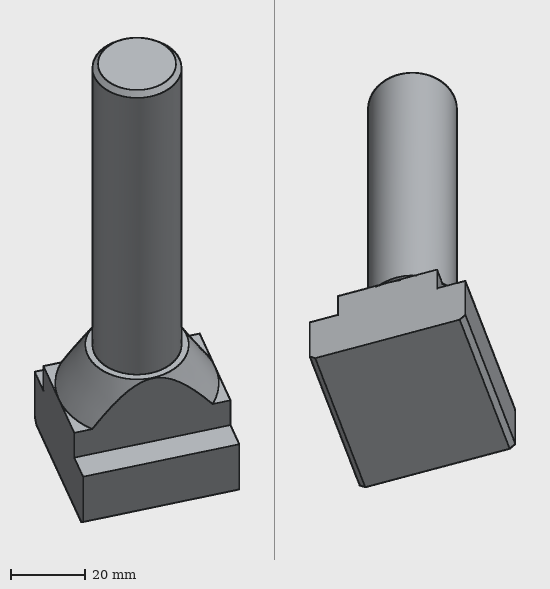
import cadquery as cq
import math

head_size = 44.0
head_height = 18.0
head_chamfer = 1.6

neck_width = 28.0
neck_straight_top = 27.0
neck_top = 41.0
cone_base_diameter = head_size
cone_half_angle = 30.0

shank_diameter = 24.0
total_height = 143.0
shank_chamfer = 1.5


def make_head():
    """Square head with chamfered bottom edges along the slot direction (Y)."""
    head = cq.Workplane("XY").box(head_size, head_size, head_height, centered=(True, True, False))
    return head.faces("<Z").edges("|Y").chamfer(head_chamfer)


def make_neck():
    """Rectangular neck topped by a cone whose two sides are cut flush with it."""
    straight = cq.Workplane("XY").box(
        neck_width, head_size, neck_straight_top, centered=(True, True, False)
    )
    cone_height = neck_top - neck_straight_top
    cone_base_radius = cone_base_diameter / 2
    cone_top_radius = cone_base_radius - cone_height * math.tan(math.radians(cone_half_angle))
    cone = (
        cq.Workplane("XY", origin=(0, 0, neck_straight_top))
        .circle(cone_base_radius)
        .workplane(offset=cone_height)
        .circle(cone_top_radius)
        .loft(ruled=True)
    )
    side_limits = cq.Workplane("XY").box(
        neck_width, head_size, neck_top, centered=(True, True, False)
    )
    return straight.union(cone.intersect(side_limits))


def make_shank():
    """Round shank with a chamfered free end."""
    shank = cq.Workplane("XY").circle(shank_diameter / 2).extrude(total_height)
    return shank.faces(">Z").edges().chamfer(shank_chamfer)


result = make_head().union(make_neck()).union(make_shank())